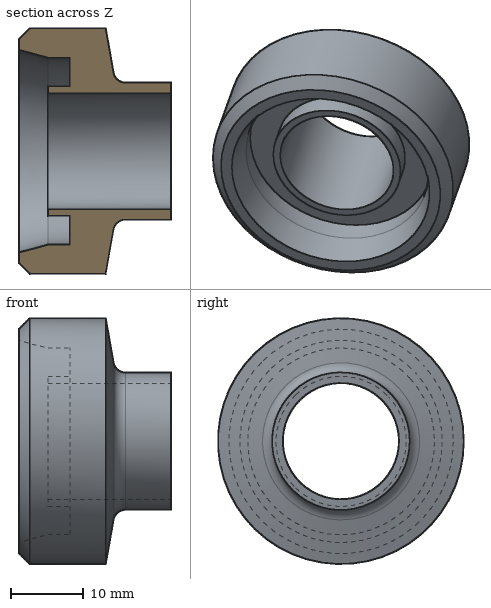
import cadquery as cq
import math

total_length = 21.0
flange_radius = 34 / 2
flange_length = 12.0
rim_chamfer = 1.5
shoulder_slope = math.radians(10)
neck_radius = 19.0 / 2
neck_fillet = 1.63

recess_radius = 25.8 / 2
recess_depth = 7.0
mouth_taper_depth = 4.0
mouth_taper = math.radians(15)
tube_radius = 18.0 / 2
tube_start = 4.0
bore_radius = 16.0 / 2

shoulder_end = flange_length + (flange_radius - neck_radius) * math.tan(shoulder_slope)
mouth_radius = recess_radius + mouth_taper_depth * math.tan(mouth_taper)

tangent_length = neck_fillet * math.tan((math.pi / 2 - shoulder_slope) / 2)
fillet_center_x = shoulder_end + tangent_length
fillet_center_radius = neck_radius + neck_fillet


def fillet_point(angle):
    """Point on the fillet arc; zero faces the flange, a right angle faces the axis."""
    return (
        fillet_center_x - neck_fillet * math.cos(angle),
        fillet_center_radius - neck_fillet * math.sin(angle),
    )


fillet_start = fillet_point(shoulder_slope)
fillet_middle = fillet_point((shoulder_slope + math.pi / 2) / 2)
fillet_end = fillet_point(math.pi / 2)

half_section = (
    cq.Workplane("XY")
    .moveTo(0, mouth_radius)
    .lineTo(0, flange_radius - rim_chamfer)
    .lineTo(rim_chamfer, flange_radius)
    .lineTo(flange_length, flange_radius)
    .lineTo(*fillet_start)
    .threePointArc(fillet_middle, fillet_end)
    .lineTo(total_length, neck_radius)
    .lineTo(total_length, bore_radius)
    .lineTo(tube_start, bore_radius)
    .lineTo(tube_start, tube_radius)
    .lineTo(recess_depth, tube_radius)
    .lineTo(recess_depth, recess_radius)
    .lineTo(mouth_taper_depth, recess_radius)
    .close()
)

result = half_section.revolve(360, (0, 0, 0), (1, 0, 0))